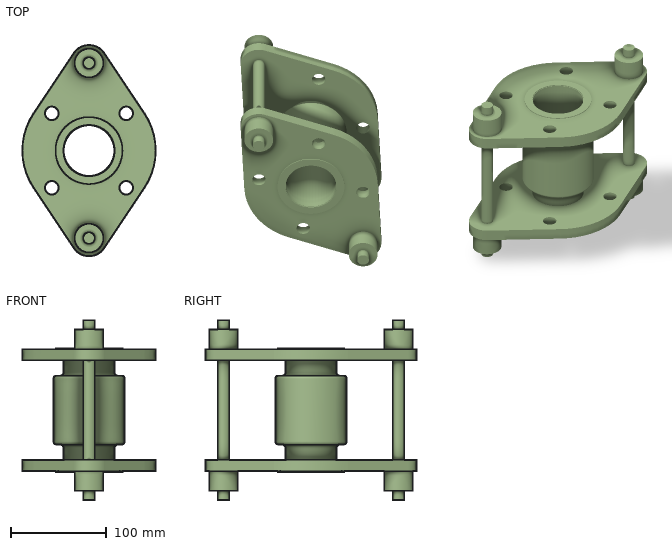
import cadquery as cq
import math

plate_radius = 69.8
tip_radius = 19.0
overall_length = 221.0
rod_offset = overall_length / 2 - tip_radius
plate_inner_z = 52.0
plate_thickness = 12.0
plate_outer_z = plate_inner_z + plate_thickness

bolt_hole_diameter = 14.0
bolt_circle_diameter = 110.0
bolt_hole_count = 4
first_bolt_angle = 45.0

face_diameter = 70.0
face_hole_diameter = 53.7
face_height = 0.9
face_outer_z = plate_outer_z + face_height

pipe_diameter = 54.0
bore_diameter = 52.8
sleeve_diameter = 74.5
sleeve_height = 72.0
sleeve_fillet = 3.0

overall_height = 188.0
rod_diameter = 12.2
nut_diameter = 30.0
nut_height = 20.5


def cylinder(diameter, bottom_z, top_z, x=0.0, y=0.0):
    """Upright cylinder between two heights."""
    base = cq.Workplane("XY", origin=(x, y, bottom_z))
    return base.circle(diameter / 2).extrude(top_z - bottom_z)


def flange_plate():
    """Lower plate: straight sides tangent to the middle arcs and the end arcs."""
    side_normal_y = (plate_radius - tip_radius) / rod_offset
    side_normal_x = math.sqrt(1 - side_normal_y ** 2)
    middle_x = plate_radius * side_normal_x
    middle_y = plate_radius * side_normal_y
    tip_x = tip_radius * side_normal_x
    tip_y = rod_offset + tip_radius * side_normal_y
    end_y = overall_length / 2

    plate = (
        cq.Workplane("XY", origin=(0, 0, -plate_outer_z))
        .moveTo(middle_x, -middle_y)
        .threePointArc((plate_radius, 0), (middle_x, middle_y))
        .lineTo(tip_x, tip_y)
        .threePointArc((0, end_y), (-tip_x, tip_y))
        .lineTo(-middle_x, middle_y)
        .threePointArc((-plate_radius, 0), (-middle_x, -middle_y))
        .lineTo(-tip_x, -tip_y)
        .threePointArc((0, -end_y), (tip_x, -tip_y))
        .close()
        .extrude(plate_thickness)
    )
    bolt_holes = (
        cq.Workplane("XY", origin=(0, 0, -plate_outer_z))
        .polarArray(bolt_circle_diameter / 2, first_bolt_angle, 360, bolt_hole_count)
        .circle(bolt_hole_diameter / 2)
        .extrude(plate_thickness)
    )
    sealing_face = cylinder(face_diameter, -face_outer_z, -plate_outer_z)
    face_hole = cylinder(face_hole_diameter, -face_outer_z, -plate_outer_z)
    return plate.cut(bolt_holes).union(sealing_face.cut(face_hole))


def sleeved_pipe():
    """Pipe with the sleeve: rounded outer rims, and fillets where it meets the pipe."""
    pipe_radius = pipe_diameter / 2
    sleeve_radius = sleeve_diameter / 2
    sleeve_top = sleeve_height / 2
    arc_middle = sleeve_fillet * (1 - math.sqrt(0.5))

    profile = (
        cq.Workplane("XZ")
        .moveTo(0, -plate_outer_z)
        .lineTo(pipe_radius, -plate_outer_z)
        .lineTo(pipe_radius, -sleeve_top - sleeve_fillet)
        .threePointArc(
            (pipe_radius + arc_middle, -sleeve_top - arc_middle),
            (pipe_radius + sleeve_fillet, -sleeve_top),
        )
        .lineTo(sleeve_radius - sleeve_fillet, -sleeve_top)
        .threePointArc(
            (sleeve_radius - arc_middle, -sleeve_top + arc_middle),
            (sleeve_radius, -sleeve_top + sleeve_fillet),
        )
        .lineTo(sleeve_radius, sleeve_top - sleeve_fillet)
        .threePointArc(
            (sleeve_radius - arc_middle, sleeve_top - arc_middle),
            (sleeve_radius - sleeve_fillet, sleeve_top),
        )
        .lineTo(pipe_radius + sleeve_fillet, sleeve_top)
        .threePointArc(
            (pipe_radius + arc_middle, sleeve_top + arc_middle),
            (pipe_radius, sleeve_top + sleeve_fillet),
        )
        .lineTo(pipe_radius, plate_outer_z)
        .lineTo(0, plate_outer_z)
        .close()
    )
    return profile.revolve(360, (0, 0, 0), (0, 1, 0))


def tie_rod(y):
    """Rod through both plates with a nut on the outside of each one."""
    rod = cylinder(rod_diameter, -overall_height / 2, overall_height / 2, y=y)
    upper_nut = cylinder(nut_diameter, plate_outer_z, plate_outer_z + nut_height, y=y)
    return rod.union(upper_nut).union(upper_nut.mirror("XY"))


lower_flange = flange_plate()
body = sleeved_pipe().union(lower_flange).union(lower_flange.mirror("XY"))
for rod_y in (-rod_offset, rod_offset):
    body = body.union(tie_rod(rod_y))

result = body.cut(cylinder(bore_diameter, -face_outer_z, face_outer_z))